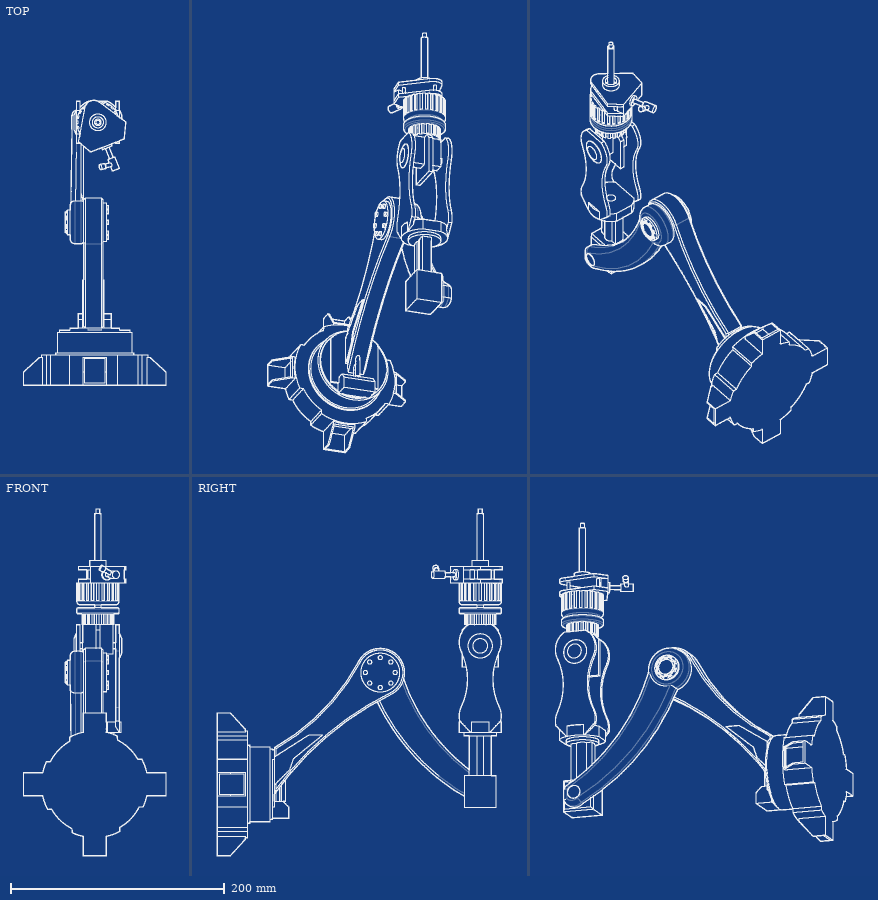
import cadquery as cq
import math


wrist_x = 3.0
wrist_y = 246.7
wrist_z = -6.8

foot_reach = 67.0
foot_width = 21.8
foot_height = 26.5
foot_end_height = 12.5
foot_slope_reach = 15.3
foot_wall = 1.3
foot_floor = 2.3
base_radius = 47.0
base_pad_radius = 50.0
base_pad_half_width = 22.5
base_pad_turn = -1.5
base_height = 28.5
base_neck_radius = 36.8
base_top = 30.5

drum_radius = 35.0
drum_top = 49.8
cap_radius = 33.2
cap_top = 51.7
seat_top = 53.7
seat_half_width = 23.5
seat_low_z = -21.5
seat_high_z = 32.5
stop_width = 31.2
stop_top = 67.5
stop_low_z = -32.0
stop_high_z = -16.0
stop_chamfer = 5.5
strut_radius = 2.0
strut_places_y = (57.0, 62.2)
strut_high_z = 6.5

elbow_y = 153.0
elbow_z = 104.8
arm_left_x = -10.5
arm_right_x = 7.8
arm_seat_low = (seat_top, -9.5)
arm_low_bend = (101.0, 43.0)
arm_head_low = (elbow_y + 10.0, elbow_z - 20.5)
arm_head_high = (elbow_y - 20.2, elbow_z + 10.7)
arm_seat_high = (seat_top, 34.5)
arm_cheek_corners = [
    (seat_top, 25.7),
    (86.0, 46.2),
    (99.0, 46.2),
    (71.5, 24.0),
    (68.0, 13.7),
    (seat_top, -0.5),
]
arm_edge_chamfer = 1.5
arm_cheek_thickness = 1.0
bearing_radius = 18.2
bearing_right_x = 12.7
bearing_bolts = 8
bearing_bolt_radius = 2.0
bearing_bolt_circle = 14.0
bearing_bolt_head = 1.5

forearm_left_x = -23.0
forearm_tip_left_x = -21.0
forearm_head_radius = 20.2
forearm_tip_radius = 11.5
blade_top_outer = (elbow_y + 20.0, elbow_z)
blade_outer_bend = (203.5, 46.2)
blade_tip_outer = (wrist_y + 7.5, wrist_z + 8.5)
blade_tip_inner = (wrist_y - 6.2, wrist_z - 9.5)
blade_inner_bend = (182.3, 29.0)
blade_head_inner = (elbow_y - 8.0, elbow_z - 15.5)
forearm_outer_fillet = 4.5
forearm_inner_fillet = 2.3
hub_left_x = -27.7
hub_radius = 11.7
hub_core_radius = 7.0
hub_groove_depth = 3.3
hub_rim = 1.3
hub_chamfer = 2.3
hub_ribs = 8
hub_rib_width = 4.0
hub_rib_recess = 1.0
tip_pin_radius = 6.2
tip_pin_height = 0.5

box_size = 30.0
box_right_x = 16.3
box_chamfer = 2.0
column_radius = 6.0
rail_left_x = 0.0
rail_right_x = 9.0
rail_inner_y = 3.3
rail_outer_y = 10.5
flange_radius = 15.3
flange_low_z = 45.5

yoke_low_z = 48.5
yoke_disc_top = 58.5
yoke_radius = 20.0
yoke_disc_radius = 21.8
yoke_hole_radius = 4.2
cheek_inner = 16.5
cheek_outer = 20.2
cheek_waist = 12.0
cheek_waist_z = 99.5
cheek_low_center_z = 64.0
cheek_high_center_z = 133.0
cheek_top = 149.7
bevel_rise = 4.5
lobe_rise = 8.0
cheek_foot_half_width = 8.8
pivot_z = 130.0
boss_radius = 11.5
boss_height = 2.3
boss_rim_height = 2.0
boss_rim_width = 4.5

pitch_half_x = 14.3
pitch_half_y = 5.2
pitch_low_z = 122.0
tail_half_x = 2.0
tail_half_y = 17.0
tail_low_z = 110.0
tail_chamfer = 5.0
trunnion_radius = 3.0
collar_radius = 15.0
collar_top = 159.8
collar_slots = 20
disc_top = 165.5
disc_fillet = 1.3

grip_radius = 20.0
grip_low_z = 168.3
grip_slots_low_z = 172.5
grip_fillet = 3.3
grip_slots = 24
slot_depth = 1.3
slot_width = 2.3
lower_plate_low_z = 188.8
lower_plate_top = 192.5
upper_plate_low_z = 201.0
upper_plate_top = 204.5
wall_thickness = 6.5
wall_left = (-4.0, 218.7)
wall_right = (27.7, 231.0)
wall_length = math.dist(wall_left, wall_right)
wall_outward = ((wall_right[1] - wall_left[1]) / wall_length, (wall_left[0] - wall_right[0]) / wall_length)
plate_right_corner = (29.3, 247.0)
plate_round_start = (5.0, 265.2)
plate_round_middle = (-3.0, 267.2)
plate_round_end = (-9.5, 259.5)
plate_left_corner = (-15.3, 228.5)
post_places = [(-3.3, 258.5), (22.0, 242.8), (-6.2, 227.8)]
post_radius = 1.45
tool_collar_radius = 7.8
tool_collar_bore = 5.2
tool_collar_top = 210.0
rod_radius = 3.1
rod_top = 254.0
tip_radius = 2.0
tip_top = 258.5

lever_x = 11.0
lever_z = 196.5
lever_rod_radius = 2.0
lever_rod_length = 12.5
lever_boss_radius = 5.0
lever_boss_length = 2.0
knuckle_radius = 3.5
knuckle_length = 11.7
handle_direction = (-4.3, -1.0, 2.3)
handle_radius = 2.0
handle_length = 9.8
handle_grip_radius = 2.5
handle_grip_length = 4.5


def cylinder(radius, start, direction, length):
    """Cylinder from a start point along a direction."""
    return cq.Workplane(cq.Solid.makeCylinder(radius, length, cq.Vector(*start), cq.Vector(*direction)))


def box(x_range, y_range, z_range):
    """Box between two limits on each axis."""
    sizes = [limits[1] - limits[0] for limits in (x_range, y_range, z_range)]
    corner = (x_range[0], y_range[0], z_range[0])
    return cq.Workplane("XY").box(*sizes, centered=False).translate(corner)


def upright(radius, low_z, high_z):
    """Cylinder on the wrist axis."""
    return cylinder(radius, (wrist_x, wrist_y, low_z), (0, 0, 1), high_z - low_z)


def disc(radius, low_y, high_y):
    """Cylinder on the base axis."""
    return cylinder(radius, (0, low_y, 0), (0, 1, 0), high_y - low_y)


def cross_pin(radius, y, z, x_from, x_to):
    """Cylinder parallel to X."""
    return cylinder(radius, (x_from, y, z), (1, 0, 0), x_to - x_from)


def side_plate(outline, x_from, x_to):
    """Extrude a closed outline drawn in Y and Z between two X positions."""
    return outline.extrude(x_to - x_from).translate((x_from, 0, 0))


def fluted(radius, low_z, high_z, slots):
    """Cylinder on the wrist axis with evenly spaced vertical slots around it."""
    body = upright(radius, low_z, high_z)
    for index in range(slots):
        slot = box(
            (radius - slot_depth, radius + slot_depth),
            (-slot_width / 2, slot_width / 2),
            (low_z, high_z),
        )
        slot = slot.rotate((0, 0, 0), (0, 0, 1), index * 360 / slots)
        body = body.cut(slot.translate((wrist_x, wrist_y, 0)))
    return body


def make_base():
    """Round foot with four raised pads and four hollow, sloping feet."""
    body = disc(base_radius, 0, base_height)
    pad_width = 2 * base_pad_half_width
    pads = disc(base_pad_radius, 0, base_height)
    cross = (
        cq.Workplane("XZ").rect(pad_width, 2 * foot_reach).extrude(-base_height)
        .union(cq.Workplane("XZ").rect(2 * foot_reach, pad_width).extrude(-base_height))
    )
    body = body.union(pads.intersect(cross.rotate((0, 0, 0), (0, 1, 0), base_pad_turn)))
    foot = (
        cq.Workplane("YZ")
        .polyline([
            (0, 0),
            (foot_height, 0),
            (foot_height, foot_reach - foot_slope_reach),
            (foot_end_height, foot_reach),
            (0, foot_reach),
        ])
        .close()
        .extrude(foot_width / 2, both=True)
    )
    pocket_half = foot_width / 2 - foot_wall
    foot = foot.cut(box(
        (-pocket_half, pocket_half),
        (foot_floor, foot_height - foot_wall),
        (base_pad_radius, foot_reach),
    ))
    for index in range(4):
        body = body.union(foot.rotate((0, 0, 0), (0, 1, 0), index * 90))
    return body.union(disc(base_neck_radius, base_height, base_top))


def make_turntable():
    """Stepped drum with a seat for the upper arm, a stop block and two struts."""
    body = disc(drum_radius, base_top, drum_top)
    body = body.union(disc(cap_radius, drum_top, cap_top))
    body = body.union(box(
        (-seat_half_width, seat_half_width), (drum_top, seat_top), (seat_low_z, seat_high_z)
    ).intersect(disc(cap_radius, 0, seat_top)))
    stop = box((-stop_width / 2, stop_width / 2), (cap_top, stop_top), (stop_low_z, stop_high_z))
    stop = stop.edges("|X and >Y and >Z").chamfer(stop_chamfer)
    body = body.union(stop)
    for y in strut_places_y:
        strut = cylinder(strut_radius, (0, y, stop_high_z), (0, 0, 1), strut_high_z - stop_high_z)
        body = body.union(strut.cut(make_upper_arm()))
    return body


def make_upper_arm():
    """Curved arm with a round elbow head, cheeks at its foot and a bolted bearing."""
    outline = (
        cq.Workplane("YZ")
        .moveTo(*arm_seat_low)
        .threePointArc(arm_low_bend, arm_head_low)
        .tangentArcPoint(arm_head_high, relative=False)
        .tangentArcPoint(arm_seat_high, relative=False)
        .close()
    )
    body = side_plate(outline, arm_left_x, arm_right_x)
    body = body.faces("<X or >X").edges().chamfer(arm_edge_chamfer)
    cheek = cq.Workplane("YZ").polyline(arm_cheek_corners).close()
    body = body.union(side_plate(cheek, arm_left_x - arm_cheek_thickness, arm_right_x + arm_cheek_thickness))
    bearing = cross_pin(bearing_radius, elbow_y, elbow_z, arm_right_x, bearing_right_x - bearing_bolt_head)
    body = body.union(bearing)
    for index in range(bearing_bolts):
        angle = math.radians(index * 360 / bearing_bolts)
        y = elbow_y + bearing_bolt_circle * math.cos(angle)
        z = elbow_z + bearing_bolt_circle * math.sin(angle)
        body = body.union(cross_pin(bearing_bolt_radius, y, z, arm_right_x, bearing_right_x))
    return body


def round_both_sides(piece):
    """Round the rims of the outer and inner face of a forearm piece."""
    piece = piece.faces("<X").edges().fillet(forearm_outer_fillet)
    return piece.faces(">X").edges().fillet(forearm_inner_fillet)


def make_forearm():
    """Curved blade tapering towards the wrist, with a round elbow head and a ribbed hub."""
    outline = (
        cq.Workplane("YZ")
        .moveTo(*blade_top_outer)
        .threePointArc(blade_outer_bend, blade_tip_outer)
        .tangentArcPoint(blade_tip_inner, relative=False)
        .threePointArc(blade_inner_bend, blade_head_inner)
        .lineTo(blade_head_inner[0], elbow_z)
        .close()
    )
    taper = (
        cq.Workplane("XY")
        .polyline([
            (arm_left_x, elbow_y - forearm_head_radius),
            (forearm_left_x, elbow_y - forearm_head_radius),
            (forearm_tip_left_x, wrist_y + forearm_tip_radius),
            (arm_left_x, wrist_y + forearm_tip_radius),
        ])
        .close()
        .extrude(elbow_z + forearm_head_radius, both=True)
    )
    blade = side_plate(outline, forearm_left_x, arm_left_x).intersect(taper)
    head = cross_pin(forearm_head_radius, elbow_y, elbow_z, forearm_left_x, arm_left_x)
    body = round_both_sides(blade).union(round_both_sides(head))

    hub = cross_pin(hub_radius, elbow_y, elbow_z, hub_left_x, forearm_tip_left_x)
    hub = hub.faces("<X").chamfer(hub_chamfer)
    groove_end = hub_left_x + hub_groove_depth
    groove = cross_pin(hub_radius - 2 * hub_rim, elbow_y, elbow_z, hub_left_x, groove_end)
    groove = groove.cut(cross_pin(hub_core_radius, elbow_y, elbow_z, hub_left_x, groove_end))
    hub = hub.cut(groove)
    rib = box(
        (hub_left_x + hub_rib_recess, forearm_tip_left_x),
        (elbow_y + hub_core_radius - hub_rim, elbow_y + hub_radius - hub_rim),
        (elbow_z - hub_rib_width / 2, elbow_z + hub_rib_width / 2),
    )
    pivot_start = (0, elbow_y, elbow_z)
    pivot_end = (1, elbow_y, elbow_z)
    for index in range(hub_ribs):
        hub = hub.union(rib.rotate(pivot_start, pivot_end, (index + 0.5) * 360 / hub_ribs))
    return body.union(hub).union(
        cross_pin(tip_pin_radius, wrist_y, wrist_z, forearm_tip_left_x - tip_pin_height, arm_left_x)
    )


def make_wrist_column():
    """Box beside the forearm tip, carrying a round column between two rails."""
    half = box_size / 2
    box_top = wrist_z + half
    body = box((arm_left_x, box_right_x), (wrist_y - half, wrist_y + half), (wrist_z - half, box_top))
    body = body.faces("<X").edges().chamfer(box_chamfer)
    body = body.union(upright(column_radius, box_top, flange_low_z))
    for inner, outer in ((rail_inner_y, rail_outer_y), (-rail_outer_y, -rail_inner_y)):
        rail = box((rail_left_x, rail_right_x), (wrist_y + inner, wrist_y + outer), (box_top, flange_low_z))
        body = body.union(rail)
    return body.union(upright(flange_radius, flange_low_z, yoke_low_z))


def cheek_outline():
    """Waisted link plate: two round lobes joined by concave sides, flat at both ends."""
    low_half = math.sqrt(yoke_radius**2 - bevel_rise**2)
    bevel_z = cheek_low_center_z - bevel_rise
    high_half = math.sqrt(yoke_radius**2 - (cheek_top - cheek_high_center_z)**2)
    lobe_half = math.sqrt(yoke_radius**2 - lobe_rise**2)
    low_z = cheek_low_center_z + lobe_rise
    high_z = cheek_high_center_z - lobe_rise
    return (
        cq.Workplane("YZ")
        .moveTo(wrist_y - cheek_foot_half_width, yoke_low_z)
        .lineTo(wrist_y + cheek_foot_half_width, yoke_low_z)
        .lineTo(wrist_y + low_half, bevel_z)
        .threePointArc((wrist_y + yoke_radius, cheek_low_center_z), (wrist_y + lobe_half, low_z))
        .threePointArc((wrist_y + cheek_waist, cheek_waist_z), (wrist_y + lobe_half, high_z))
        .threePointArc((wrist_y + yoke_radius, cheek_high_center_z), (wrist_y + high_half, cheek_top))
        .lineTo(wrist_y - high_half, cheek_top)
        .threePointArc((wrist_y - yoke_radius, cheek_high_center_z), (wrist_y - lobe_half, high_z))
        .threePointArc((wrist_y - cheek_waist, cheek_waist_z), (wrist_y - lobe_half, low_z))
        .threePointArc((wrist_y - yoke_radius, cheek_low_center_z), (wrist_y - low_half, bevel_z))
        .close()
    )


def make_yoke():
    """Flat-sided disc carrying two link plates with pivot bosses."""
    body = upright(yoke_disc_radius, yoke_low_z, yoke_disc_top).intersect(box(
        (wrist_x - yoke_disc_radius, wrist_x + yoke_disc_radius),
        (wrist_y - yoke_radius, wrist_y + yoke_radius),
        (yoke_low_z, yoke_disc_top),
    ))
    cheek = side_plate(cheek_outline(), cheek_inner, cheek_outer)
    boss = cross_pin(boss_radius, wrist_y, pivot_z, cheek_outer, cheek_outer + boss_height)
    boss = boss.faces(">X").chamfer(boss_rim_height, boss_rim_width)
    side = cheek.union(boss)
    body = body.union(side.translate((wrist_x, 0, 0)))
    body = body.union(side.mirror("YZ").translate((wrist_x, 0, 0)))
    return body.cut(upright(yoke_hole_radius, yoke_low_z, yoke_disc_top))


def make_pitch_block():
    """Block and tail hung between the link plates, topped by a fluted collar."""
    body = box(
        (wrist_x - pitch_half_x, wrist_x + pitch_half_x),
        (wrist_y - pitch_half_y, wrist_y + pitch_half_y),
        (pitch_low_z, cheek_top),
    )
    tail = box(
        (wrist_x - tail_half_x, wrist_x + tail_half_x),
        (wrist_y - tail_half_y, wrist_y + tail_half_y),
        (tail_low_z, cheek_top),
    )
    body = body.union(tail.edges("|X and >Z").chamfer(tail_chamfer))
    body = body.union(cross_pin(
        trunnion_radius, wrist_y, pivot_z, wrist_x - cheek_inner, wrist_x + cheek_inner
    ))
    body = body.union(fluted(collar_radius, cheek_top, collar_top, collar_slots))
    top_disc = upright(yoke_radius, collar_top, disc_top).edges().fillet(disc_fillet)
    return body.union(top_disc)


def make_plate(low_z, high_z):
    """Three-sided plate with blunt corners; the corner above the grip is rounded."""
    outline = (
        cq.Workplane("XY")
        .moveTo(*wall_left)
        .lineTo(*wall_right)
        .lineTo(*plate_right_corner)
        .lineTo(*plate_round_start)
        .threePointArc(plate_round_middle, plate_round_end)
        .lineTo(*plate_left_corner)
        .close()
    )
    return outline.extrude(high_z - low_z).translate((0, 0, low_z))


def make_clamp_lever():
    """Screw through the plate wall, ending in a knuckle with a raised handle."""
    wall_slope = (wall_right[1] - wall_left[1]) / (wall_right[0] - wall_left[0])
    foot = (lever_x, wall_left[1] + (lever_x - wall_left[0]) * wall_slope, lever_z)
    outward = cq.Vector(wall_outward[0], wall_outward[1], 0)
    root = cq.Vector(*foot)
    knuckle_start = root + outward * lever_rod_length
    knuckle_middle = knuckle_start + outward * (knuckle_length / 2)
    grip_start = knuckle_middle + cq.Vector(*handle_direction).normalized() * handle_length
    lever = cylinder(lever_boss_radius, foot, outward.toTuple(), lever_boss_length)
    lever = lever.union(cylinder(lever_rod_radius, foot, outward.toTuple(), lever_rod_length))
    lever = lever.union(cylinder(knuckle_radius, knuckle_start.toTuple(), outward.toTuple(), knuckle_length))
    lever = lever.union(cylinder(handle_radius, knuckle_middle.toTuple(), handle_direction, handle_length))
    grip = cylinder(handle_grip_radius, grip_start.toTuple(), handle_direction, handle_grip_length)
    return lever.union(grip)


def make_tool_head():
    """Fluted grip, two plates joined by a wall and posts, and the tool rod."""
    body = upright(grip_radius, grip_low_z, grip_slots_low_z).faces("<Z").edges().fillet(grip_fillet)
    body = body.union(fluted(grip_radius, grip_slots_low_z, lower_plate_low_z, grip_slots))
    body = body.union(upright(rod_radius, disc_top, grip_low_z))
    body = body.union(make_plate(lower_plate_low_z, lower_plate_top))
    body = body.union(make_plate(upper_plate_low_z, upper_plate_top))

    inward = (-wall_outward[0] * wall_thickness, -wall_outward[1] * wall_thickness)
    wall = (
        cq.Workplane("XY")
        .polyline([
            wall_left,
            wall_right,
            (wall_right[0] + inward[0], wall_right[1] + inward[1]),
            (wall_left[0] + inward[0], wall_left[1] + inward[1]),
        ])
        .close()
        .extrude(upper_plate_top - lower_plate_low_z)
        .translate((0, 0, lower_plate_low_z))
    )
    body = body.union(wall)
    for x, y in post_places:
        post = cylinder(post_radius, (x, y, lower_plate_top), (0, 0, 1), upper_plate_low_z - lower_plate_top)
        body = body.union(post)

    body = body.union(upright(tool_collar_radius, upper_plate_top, tool_collar_top))
    body = body.cut(upright(tool_collar_bore, upper_plate_top, tool_collar_top))
    body = body.union(upright(rod_radius, upper_plate_top, rod_top))
    body = body.union(upright(tip_radius, rod_top, tip_top))
    return body.union(make_clamp_lever())


base = make_base()
turntable = make_turntable()
upper_arm = make_upper_arm()
forearm = make_forearm()
wrist_column = make_wrist_column()
yoke = make_yoke()
pitch_block = make_pitch_block()
tool_head = make_tool_head()

result = cq.Compound.makeCompound([
    base.solids().val(),
    turntable.solids().val(),
    upper_arm.solids().val(),
    forearm.solids().val(),
    wrist_column.solids().val(),
    yoke.solids().val(),
    pitch_block.solids().val(),
    tool_head.solids().val(),
])